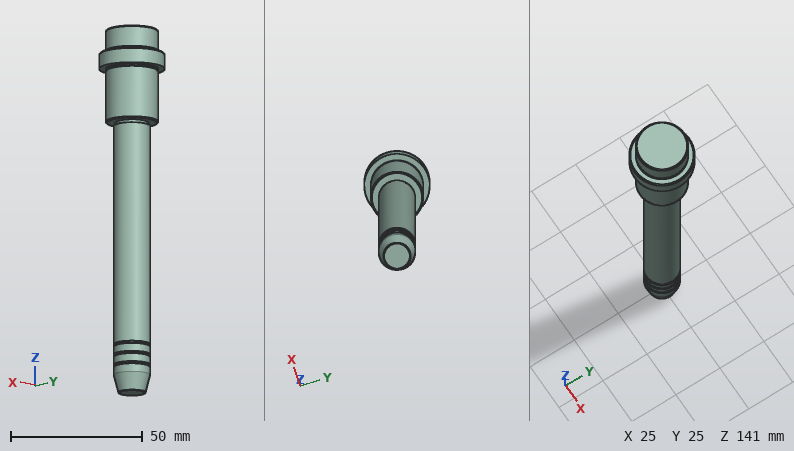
import cadquery as cq

total_length = 141.0
flange_top_depth = 9.0
flange_thickness = 5.9
body_bottom_depth = 36.0
neck_length = 1.1
nose_length = 7.0

flange_diameter = 25.0
body_diameter = 20.0
shank_diameter = 14.0
neck_diameter = 12.8
tip_diameter = 10.3

edge_chamfer = 0.5
tip_chamfer = 0.3

groove_width = 1.0
groove_depth = groove_width / 2

shank_groove_count = 3
land_length = 3.0

flange_top = total_length - flange_top_depth
flange_bottom = flange_top - flange_thickness
body_bottom = total_length - body_bottom_depth
neck_bottom = body_bottom - neck_length
groove_pitch = land_length + groove_width


def cylinder(diameter, bottom, top):
    """Cylinder on the pin axis between two heights."""
    return cq.Workplane("XY").workplane(offset=bottom).circle(diameter / 2).extrude(top - bottom)


def ring_groove(surface_diameter, bottom):
    """Triangular ring that cuts a V-groove into a cylinder, starting at the given height."""
    surface_radius = surface_diameter / 2
    return (
        cq.Workplane("XZ")
        .moveTo(surface_radius, bottom)
        .lineTo(surface_radius - groove_depth, bottom + groove_width / 2)
        .lineTo(surface_radius, bottom + groove_width)
        .close()
        .revolve(360, (0, 0, 0), (0, 1, 0))
    )


nose = (
    cq.Workplane("XY")
    .circle(tip_diameter / 2)
    .workplane(offset=nose_length)
    .circle(shank_diameter / 2)
    .loft(ruled=True)
    .faces("<Z")
    .chamfer(tip_chamfer)
)

shank = cylinder(shank_diameter, nose_length, neck_bottom)
neck = cylinder(neck_diameter, neck_bottom, body_bottom)

body = cylinder(body_diameter, body_bottom, total_length).faces("<Z or >Z").chamfer(edge_chamfer)
flange = cylinder(flange_diameter, flange_bottom, flange_top).faces(">Z").chamfer(edge_chamfer)

result = nose.union(shank).union(neck).union(body).union(flange)

for undercut_bottom in (flange_bottom - groove_width, flange_top):
    result = result.cut(ring_groove(body_diameter, undercut_bottom))

for index in range(shank_groove_count):
    groove_bottom = nose_length + land_length + index * groove_pitch
    result = result.cut(ring_groove(shank_diameter, groove_bottom))